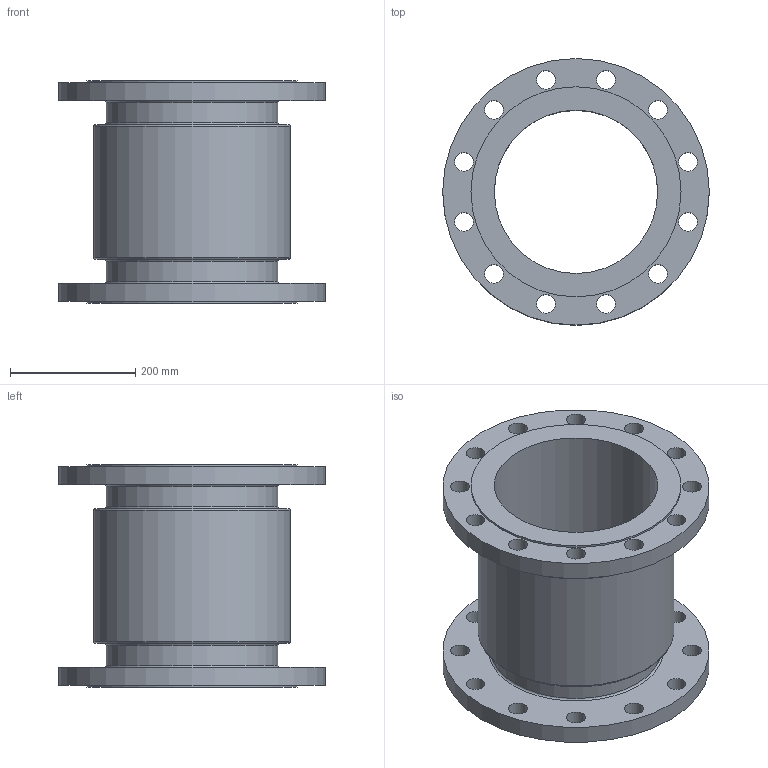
import cadquery as cq

full_turn = 360.0
match_tolerance = 0.001

length = 355.0

flange_diameter = 425.0
flange_thickness = 29.0
raised_face_diameter = 335.0
raised_face_height = 3.0

neck_diameter = 273.0
pipe_wall = 6.3
sleeve_diameter = 313.0
sleeve_length = 215.0
neck_fillet = 3.0
sleeve_edge_fillet = 3.0

bolt_count = 12
bolt_circle_diameter = 370.0
bolt_hole_diameter = 30.0
first_bolt_angle = full_turn / bolt_count / 2

end_z = length / 2
flange_front_z = end_z - raised_face_height
flange_back_z = flange_front_z - flange_thickness
sleeve_end_z = sleeve_length / 2

neck_radius = neck_diameter / 2
bore_radius = neck_radius - pipe_wall
sleeve_radius = sleeve_diameter / 2
flange_radius = flange_diameter / 2
raised_face_radius = raised_face_diameter / 2


def make_spool():
    """Flanged pipe with its sleeve, as one half section turned about the Z axis."""
    upper_outline = [
        (sleeve_radius, sleeve_end_z),
        (neck_radius, sleeve_end_z),
        (neck_radius, flange_back_z),
        (flange_radius, flange_back_z),
        (flange_radius, flange_front_z),
        (raised_face_radius, flange_front_z),
        (raised_face_radius, end_z),
        (bore_radius, end_z),
    ]
    lower_outline = [(radius, -z) for radius, z in reversed(upper_outline)]
    section = cq.Workplane("XZ").polyline(upper_outline + lower_outline).close()
    return section.revolve(full_turn, (0, 0), (0, 1))


def fillet_rings(part, radius, height, fillet_radius):
    """Fillet the two circular edges of the given radius at that height above and below the mid plane."""
    def is_ring(edge):
        if edge.geomType() != "CIRCLE":
            return False
        radius_matches = abs(edge.radius() - radius) < match_tolerance
        return radius_matches and abs(abs(edge.Center().z) - height) < match_tolerance

    rings = [edge for edge in part.edges().vals() if is_ring(edge)]
    return part.newObject(rings).fillet(fillet_radius)


def round_edges(part):
    """Fillet the neck roots at flanges and sleeve, and round the sleeve's outer edges."""
    part = fillet_rings(part, neck_radius, flange_back_z, neck_fillet)
    part = fillet_rings(part, neck_radius, sleeve_end_z, neck_fillet)
    return fillet_rings(part, sleeve_radius, sleeve_end_z, sleeve_edge_fillet)


def make_bolt_holes():
    """Cylinders that pass through both flanges, clear of the sleeve."""
    return (
        cq.Workplane("XY", origin=(0, 0, -end_z))
        .polarArray(bolt_circle_diameter / 2, first_bolt_angle, full_turn, bolt_count)
        .circle(bolt_hole_diameter / 2)
        .extrude(length)
    )


result = round_edges(make_spool()).cut(make_bolt_holes())